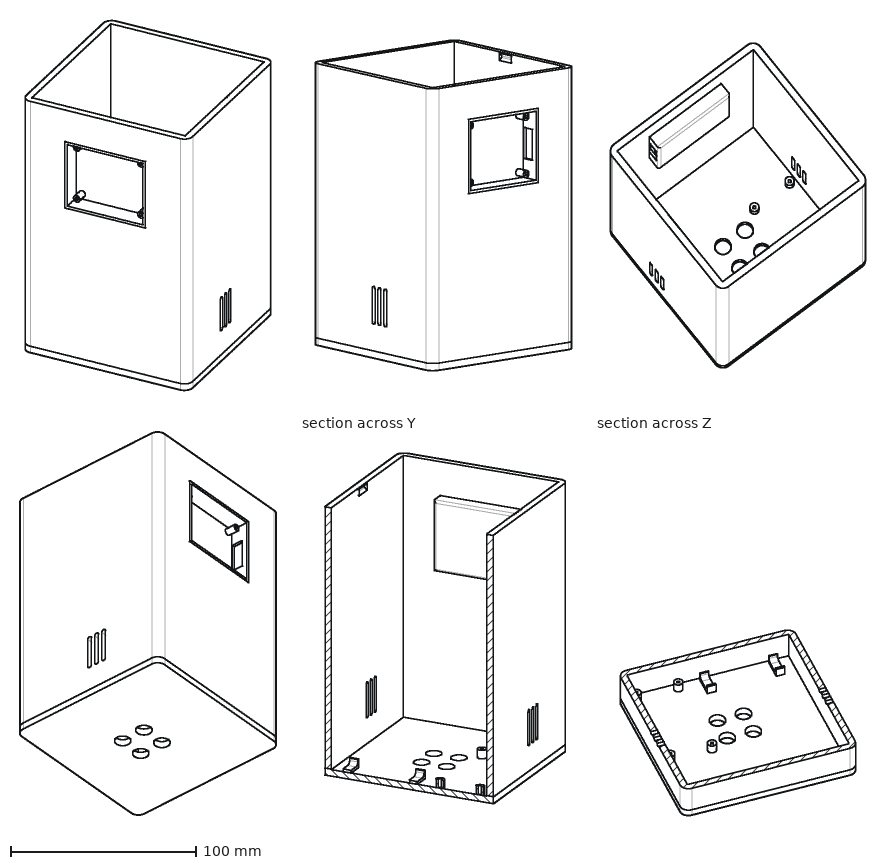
import cadquery as cq

HEIGHT = 155.0
SIDE = 101.0
WALL = 4.0
CORNER_RADIUS = 5.0
BASE_THICKNESS = 4.0
INNER_HALF = SIDE / 2 - WALL

SLOT_COUNT = 3
SLOT_WIDTH = 2.5
SLOT_HEIGHT = 20.6
SLOT_PITCH = 5.0
SLOT_ROW_Y = -6.5
SLOT_CENTER_Z = 29.1

NOTCH_LENGTH = 9.9
NOTCH_Y = 3.5
NOTCH_HALF_HEIGHT = 2.0
NOTCH_ROOT_RADIUS = 0.6
NOTCH_CENTER_Z = 152.2

BOX_WIDTH = 49.0
BOX_HEIGHT = 40.9
BOX_DEPTH = 12.2
BOX_WALL = 1.5
BOX_CENTER_Z = 115.0
BOX_BACK_FILLET = 1.4
BOX_FRONT_Y = -SIDE / 2
BOX_BACK_Y = BOX_FRONT_Y + BOX_DEPTH
BOX_FLOOR_Y = BOX_BACK_Y - BOX_WALL

POST_DIAMETER = 3.9
POST_LENGTH = 6.4
POST_SPACING_X = 39.0
POST_SPACING_Z = 31.5

CABLE_OPENING_HEIGHT = 17.0
CABLE_OPENING_LENGTH = 6.8
CABLE_OPENING_INSET = 3.4

BASE_HOLE_DIAMETER = 8.8
BASE_HOLE_PITCH = 15.0
BASE_HOLE_CENTER_Y = 4.0

STANDOFF_DIAMETER = 5.0
STANDOFF_HEIGHT = 5.0
STANDOFF_SPACING_X = 24.0
STANDOFF_SPACING_Y = 52.1
STANDOFF_CENTER_X = -30.5
STANDOFF_CENTER_Y = 16.6

SCREW_HOLE_DIAMETER = 1.5

CLIP_WIDTH = 5.0
CLIP_HEIGHT = 5.0
CLIP_FLOOR = 1.5
CLIP_FRONT_WALL = 1.2
CLIP_BACK_WALL = 0.6
CLIP_CHANNEL = 9.9
CLIP_FILLET = 2.2
CLIP_BACK_Y = 45.3
CLIP_CENTERS_X = (-2.6, 37.0)


def rounded_prism(height):
    """Square prism with rounded vertical edges, standing on Z = 0."""
    return (
        cq.Workplane("XY")
        .box(SIDE, SIDE, height, centered=(True, True, False))
        .edges("|Z")
        .fillet(CORNER_RADIUS)
    )


def make_base():
    """Flat base plate with four cable holes."""
    holes = (
        cq.Workplane("XY")
        .center(0, BASE_HOLE_CENTER_Y)
        .rarray(BASE_HOLE_PITCH, BASE_HOLE_PITCH, 2, 2)
        .circle(BASE_HOLE_DIAMETER / 2)
        .extrude(BASE_THICKNESS)
    )
    return rounded_prism(BASE_THICKNESS).cut(holes)


def vent_slots():
    """Vertical round-ended slots that pass through both side walls."""
    return (
        cq.Workplane("YZ", origin=(-SIDE / 2, SLOT_ROW_Y, SLOT_CENTER_Z))
        .rarray(SLOT_PITCH, 1.5, SLOT_COUNT, 1)
        .slot2D(SLOT_HEIGHT, SLOT_WIDTH, 90)
        .extrude(SIDE)
    )


def latch_notch():
    """V-shaped groove along Y with a rounded root, cut into the inner face of the +X wall."""
    return (
        cq.Workplane("XZ", origin=(INNER_HALF, NOTCH_Y, NOTCH_CENTER_Z))
        .moveTo(0, -NOTCH_HALF_HEIGHT)
        .lineTo(NOTCH_HALF_HEIGHT, 0)
        .lineTo(0, NOTCH_HALF_HEIGHT)
        .close()
        .extrude(NOTCH_LENGTH / 2, both=True)
        .edges(">X")
        .fillet(NOTCH_ROOT_RADIUS)
    )


def box_block():
    """Outer block of the display box, with rounded edges around its back face."""
    return (
        cq.Workplane("XZ", origin=(0, BOX_FRONT_Y, BOX_CENTER_Z))
        .rect(BOX_WIDTH, BOX_HEIGHT)
        .extrude(-BOX_DEPTH)
        .faces(">Y")
        .edges()
        .fillet(BOX_BACK_FILLET)
    )


def make_housing():
    """Open square tube with the vents, the latch notch and the window for the display box."""
    bore = cq.Workplane("XY").rect(2 * INNER_HALF, 2 * INNER_HALF).extrude(HEIGHT)
    tube = rounded_prism(HEIGHT - BASE_THICKNESS).cut(bore).translate((0, 0, BASE_THICKNESS))
    return tube.cut(vent_slots()).cut(latch_notch()).cut(box_block())


def display_posts():
    """Four drilled posts that rise from the back of the display box toward -Y."""
    return (
        cq.Workplane("XZ", origin=(0, BOX_FLOOR_Y, BOX_CENTER_Z))
        .rarray(POST_SPACING_X, POST_SPACING_Z, 2, 2)
        .circle(POST_DIAMETER / 2)
        .circle(SCREW_HOLE_DIAMETER / 2)
        .extrude(POST_LENGTH)
    )


def make_display_box():
    """Box open toward -Y, with a cable opening in its +X side and posts on its back wall."""
    cavity = (
        cq.Workplane("XZ", origin=(0, BOX_FRONT_Y, BOX_CENTER_Z))
        .rect(BOX_WIDTH - 2 * BOX_WALL, BOX_HEIGHT - 2 * BOX_WALL)
        .extrude(BOX_WALL - BOX_DEPTH)
    )
    cable_opening = (
        cq.Workplane("XY", origin=(BOX_WIDTH / 2, BOX_FRONT_Y + CABLE_OPENING_INSET, BOX_CENTER_Z))
        .box(2 * BOX_WALL, CABLE_OPENING_LENGTH, CABLE_OPENING_HEIGHT, centered=(True, False, True))
    )
    return box_block().cut(cavity).cut(cable_opening).union(display_posts())


def make_standoff(x, y):
    """Drilled cylindrical standoff on top of the base."""
    return (
        cq.Workplane("XY", origin=(x, y, BASE_THICKNESS))
        .circle(STANDOFF_DIAMETER / 2)
        .circle(SCREW_HOLE_DIAMETER / 2)
        .extrude(STANDOFF_HEIGHT)
    )


def make_clip(x):
    """U-shaped clip, open upward, with rounded inner corners."""
    length = CLIP_FRONT_WALL + CLIP_CHANNEL + CLIP_BACK_WALL
    front_y = CLIP_BACK_Y - length
    block = (
        cq.Workplane("XY", origin=(x, front_y, BASE_THICKNESS))
        .box(CLIP_WIDTH, length, CLIP_HEIGHT, centered=(True, False, False))
    )
    channel = (
        cq.Workplane("XY", origin=(x, front_y + CLIP_FRONT_WALL, BASE_THICKNESS + CLIP_FLOOR))
        .box(CLIP_WIDTH, CLIP_CHANNEL, CLIP_HEIGHT, centered=(True, False, False))
        .faces("<Z")
        .edges("|X")
        .fillet(CLIP_FILLET)
    )
    return block.cut(channel)


housing = make_housing()
base = make_base()
display_box = make_display_box()
standoffs = [
    make_standoff(
        STANDOFF_CENTER_X + side_x * STANDOFF_SPACING_X / 2,
        STANDOFF_CENTER_Y + side_y * STANDOFF_SPACING_Y / 2,
    )
    for side_x in (-1, 1)
    for side_y in (-1, 1)
]
clips = [make_clip(x) for x in CLIP_CENTERS_X]

result = cq.Compound.makeCompound(
    [housing.val(), base.val(), display_box.val()]
    + [standoff.val() for standoff in standoffs]
    + [clip.val() for clip in clips]
)